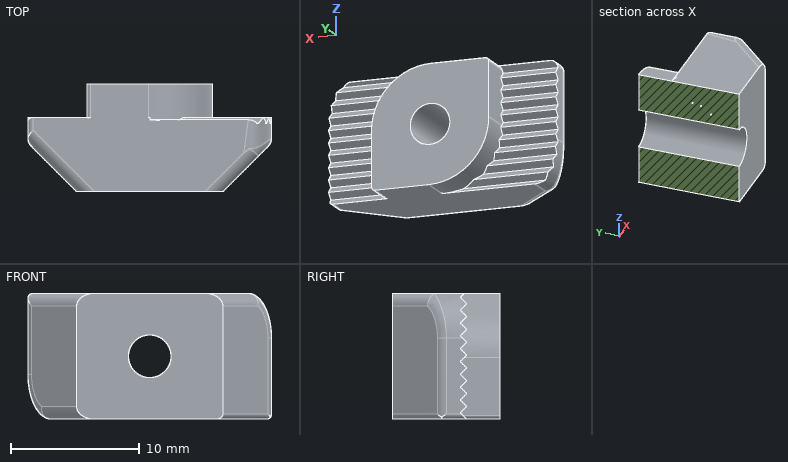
import cadquery as cq
import math

length = 19.0
depth = 8.4
height = 9.8
half_length = length / 2
half_depth = depth / 2
half_height = height / 2

wing_back_y = 1.6
front_half_width = 5.7
slope_start_y = -half_depth + (half_length - front_half_width)
sweep_x = 1.82
sweep_z = 3.5
edge_radius = 0.99
small_edge_radius = 0.4

tooth_pitch = 1.0
tooth_depth = tooth_pitch / 2
tooth_count = math.ceil(height / tooth_pitch)

boss_half_width = half_height
boss_round_radius = 5.0
boss_small_radius = 0.3
hole_diameter = 3.3


def nearest(x, y, z):
    """Selector for the edge whose center is nearest to a point."""
    return cq.NearestToPointSelector((x, y, z))


def extrude_along_y(sketch, y_start, y_end):
    """Extrude a closed XZ sketch from y_start back to y_end."""
    return sketch.extrude(y_start - y_end).translate((0, y_start, 0))


def make_outline():
    """Wing prism along Y with two opposite ends swept by a quarter ellipse."""
    sketch = (
        cq.Workplane("XZ")
        .moveTo(half_length, -half_height)
        .lineTo(half_length, half_height - sweep_z)
        .ellipseArc(sweep_x, sweep_z, 0, 90, sense=1, startAtCurrent=True)
        .lineTo(-half_length, half_height)
        .lineTo(-half_length, sweep_z - half_height)
        .ellipseArc(sweep_x, sweep_z, 180, 270, sense=1, startAtCurrent=True)
        .close()
    )
    return extrude_along_y(sketch, -half_depth, wing_back_y)


def round_outline(prism):
    """Round the two sharp corners of the outline."""
    middle_y = (wing_back_y - half_depth) / 2
    for side in (1, -1):
        sharp_corner = nearest(side * half_length, middle_y, -side * half_height)
        prism = prism.edges(sharp_corner).fillet(small_edge_radius)
    return prism


def make_wedge():
    """Full-height block that narrows at 45 degrees to the front face."""
    return (
        cq.Workplane("XY")
        .moveTo(-half_length, wing_back_y)
        .lineTo(half_length, wing_back_y)
        .lineTo(half_length, slope_start_y)
        .lineTo(front_half_width, -half_depth)
        .lineTo(-front_half_width, -half_depth)
        .lineTo(-half_length, slope_start_y)
        .close()
        .extrude(half_height, both=True)
    )


def round_slopes(block):
    """Round the slopes where they meet the two long sides."""
    middle_x = (front_half_width + half_length) / 2
    middle_y = (slope_start_y - half_depth) / 2
    for side_x in (1, -1):
        for side_z in (1, -1):
            is_small = side_x > 0 and side_z < 0
            radius = small_edge_radius if is_small else edge_radius
            slope_edge = nearest(side_x * middle_x, middle_y, side_z * half_height)
            block = block.edges(slope_edge).fillet(radius)
    return block


def round_ends(block):
    """Round the slopes where they meet the end faces, along the swept corners too."""
    middle_z = sweep_z / 2
    for side in (1, -1):
        end_edge = nearest(side * half_length, slope_start_y, -side * middle_z)
        block = block.edges(end_edge).fillet(edge_radius)
    return block


def make_tooth_grooves(side):
    """V grooves along X on one wing; side -1 starts at the top, +1 at the bottom."""
    start_z = -side * half_height
    points = [(wing_back_y, start_z)]
    for index in range(tooth_count):
        valley_z = start_z + side * (index + 0.5) * tooth_pitch
        tip_z = start_z + side * (index + 1) * tooth_pitch
        points.append((wing_back_y - tooth_depth, valley_z))
        points.append((wing_back_y, tip_z))
    last_z = points[-1][1]
    points.append((half_depth, last_z))
    points.append((half_depth, start_z))
    return cq.Workplane("YZ").polyline(points).close().extrude(side * half_length)


def make_boss():
    """Square boss with two opposite corners fully rounded, reaching below the teeth."""
    base_y = wing_back_y - tooth_depth
    sketch = cq.Workplane("XZ").rect(2 * boss_half_width, height)
    boss = extrude_along_y(sketch, base_y, half_depth)
    middle_y = (base_y + half_depth) / 2
    for side in (1, -1):
        round_corner = nearest(side * boss_half_width, middle_y, side * half_height)
        boss = boss.edges(round_corner).fillet(boss_round_radius)
        small_corner = nearest(side * boss_half_width, middle_y, -side * half_height)
        boss = boss.edges(small_corner).fillet(boss_small_radius)
    return boss


outline = make_outline()
wedge = make_wedge()
wings = round_ends(wedge.intersect(outline))
wings = wings.intersect(round_slopes(wedge))
wings = wings.intersect(round_outline(outline))
for wing_side in (1, -1):
    wings = wings.cut(make_tooth_grooves(wing_side))

hole = extrude_along_y(cq.Workplane("XZ").circle(hole_diameter / 2), -half_depth, half_depth)
result = wings.union(make_boss()).cut(hole)